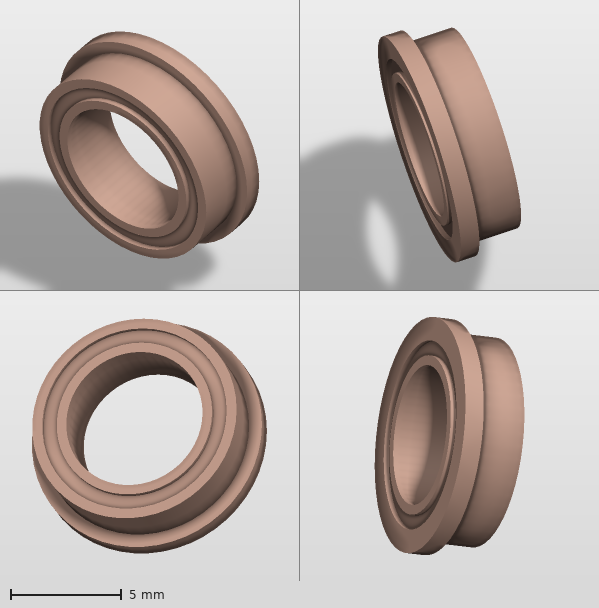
import cadquery as cq

bore_diameter = 6.35
inner_ring_diameter = 7.24
outer_ring_bore = 8.59
body_diameter = 9.525
flange_diameter = 10.72
width = 3.12
flange_width = 0.89
shield_recess = 0.25


def tube(outer_diameter, inner_diameter, y_start, length):
    """Ring around the Y axis, extending toward +Y from y_start."""
    return (
        cq.Workplane("XZ", origin=(0, y_start, 0))
        .circle(outer_diameter / 2)
        .circle(inner_diameter / 2)
        .extrude(-length)
    )


def shield_groove(y_start):
    """Shallow annular recess between the inner and outer rings."""
    return tube(outer_ring_bore, inner_ring_diameter, y_start, shield_recess)


front_face = -width / 2
back_face = width / 2

body = tube(body_diameter, bore_diameter, front_face, width)
flange = tube(flange_diameter, bore_diameter, back_face - flange_width, flange_width)
bearing = body.union(flange)

for groove_start in (front_face, back_face - shield_recess):
    bearing = bearing.cut(shield_groove(groove_start))

result = bearing